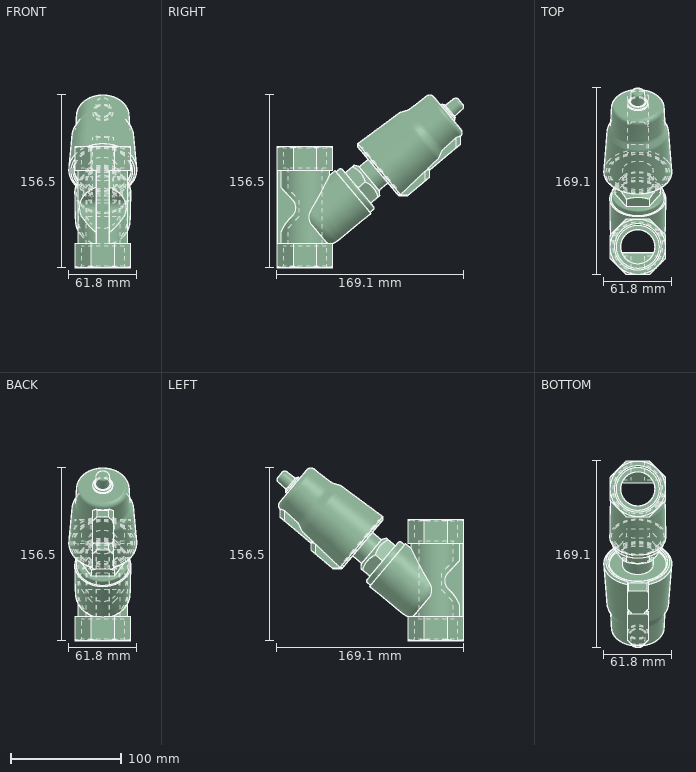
import cadquery as cq
import math


body_length = 110.0
octagon_sides = 8
octagon_flats = 50.5
octagon_height = 22.0
octagon_bevel_radius = 25.0
octagon_bevel_slope = 0.5
barrel_radius = 22.5
rib_width = 12.0
rib_edge_chamfer = 0.5
thread_diameter = 38.95
thread_depth = 19.5
thread_chamfer = 1.6
flow_diameter = 30.8

relief_apex = (-8.2, -0.7)
relief_upper_tangent = (-10.8, 6.2)
relief_lower_tangent = (-11.8, -8.5)
relief_lower_middle = (-17.2, -14.7)
relief_lower_end = (-21.8, -23.2)
relief_upper_slope = 1.07
relief_outer_y = -30.0
seat_wall_y = -5.2

lean_angle = 50.0
axis_start_z = -23.1
branch_diameter = 50.9
branch_start = 9.3
branch_start_radius = 22.2
branch_round_end = 16.2
branch_round_radius = 24.8
branch_round_middle = (23.9, 12.4)
branch_cone_end = 23.1
branch_cone_radius = 25.1
collar_start = 57.0
collar_end = 62.8
collar_diameter = 48.0
collar_round = 2.0

nut_sides = 6
nut_flats = 36.0
nut_end = 75.9
nut_bevel_radius = 14.8
nut_bevel_height = 2.4
stem_diameter = 28.0

skirt_start = 86.5
skirt_chamfer = 2.0
skirt_diameter = 61.8
skirt_bore_diameter = 51.7
skirt_bore_depth = 3.0
skirt_bore_chamfer = 1.2
shoulder_start = 136.0
shoulder_radius = 28.0
shoulder_end = 143.2
shoulder_end_radius = 24.8
shoulder_blend = 5.5
cap_end = 168.5
cap_end_radius = 23.8
cap_round = 5.0

ring_diameter = 18.2
ring_height = 2.9
ring_chamfer = 1.4
pin_end = 184.2
pin_base_radius = 6.6
pin_tip_radius = 6.1
pin_round = 3.1

port_width = 19.0
port_corner_chamfer = 4.3
port_bottom_chamfer = 1.0
port_depth = 11.0
lower_port_reach = 34.3
lower_port_end_y = 113.1
lower_port_bottom_z = 9.9
upper_port_reach = 29.4
upper_port_end_y = 141.2
upper_port_bottom_z = 33.5


def on_inclined_axis(shape):
    """Move a shape built upright on Z onto the inclined axis."""
    return shape.rotate((0, 0, 0), (1, 0, 0), -lean_angle).translate((0, 0, axis_start_z))


def octagon_end():
    """Octagonal wrench end at the top of the body, with bevelled corners."""
    base_z = body_length / 2 - octagon_height
    corner_diameter = octagon_flats / math.cos(math.pi / octagon_sides)
    half_sector = 180 / octagon_sides
    prism = (
        cq.Workplane("XY")
        .workplane(offset=base_z)
        .transformed(rotate=(0, 0, half_sector))
        .polygon(octagon_sides, corner_diameter)
        .extrude(octagon_height)
    )
    outer_radius = corner_diameter / 2
    bevel_drop = (outer_radius - octagon_bevel_radius) * octagon_bevel_slope
    bevel_envelope = (
        cq.Workplane("XZ")
        .moveTo(0, 0)
        .lineTo(outer_radius, 0)
        .lineTo(outer_radius, body_length / 2 - bevel_drop)
        .lineTo(octagon_bevel_radius, body_length / 2)
        .lineTo(0, body_length / 2)
        .close()
        .revolve(360, (0, 0, 0), (0, 1, 0))
    )
    return prism.intersect(bevel_envelope)


def relief_profile():
    """Closed notch outline in the YZ plane, with a rounded apex."""
    upper_end_z = relief_upper_tangent[1] + relief_upper_slope * (relief_upper_tangent[0] - relief_outer_y)
    return (
        cq.Workplane("YZ")
        .moveTo(relief_outer_y, upper_end_z)
        .lineTo(*relief_upper_tangent)
        .threePointArc(relief_apex, relief_lower_tangent)
        .threePointArc(relief_lower_middle, relief_lower_end)
        .lineTo(relief_outer_y, relief_lower_end[1])
        .close()
    )


def seat_wall_profile():
    """Trapezoid in the YZ plane that keeps a wall around the relief inside the passage."""
    upper_z = relief_upper_tangent[1]
    lower_z = relief_lower_tangent[1]
    flank_rise = relief_upper_slope * (seat_wall_y - relief_outer_y)
    return (
        cq.Workplane("YZ")
        .moveTo(seat_wall_y, upper_z)
        .lineTo(relief_outer_y, upper_z + flank_rise)
        .lineTo(relief_outer_y, lower_z - flank_rise)
        .lineTo(seat_wall_y, lower_z)
        .close()
    )


def rib():
    """Flat rib that joins the two octagonal ends along the -Y side."""
    length = body_length - 2 * octagon_height
    depth = octagon_flats / 2
    return (
        cq.Workplane("XY")
        .box(rib_width, depth, length)
        .translate((0, -depth / 2, 0))
        .edges("|Z and <Y")
        .chamfer(rib_edge_chamfer)
    )


def body_outside():
    upper_end = octagon_end()
    lower_end = upper_end.mirror("XY")
    barrel = cq.Workplane("XY").circle(barrel_radius).extrude(body_length / 2 - octagon_height, both=True)
    relief = relief_profile().extrude(octagon_flats, both=True)
    return barrel.cut(relief).union(rib()).union(upper_end).union(lower_end)


def flow_passage():
    """Threaded-end bores joined by a straight passage that passes round the relief wall."""
    bore_radius = thread_diameter / 2
    end_bore = (
        cq.Workplane("XZ")
        .moveTo(0, body_length / 2)
        .lineTo(bore_radius + thread_chamfer, body_length / 2)
        .lineTo(bore_radius, body_length / 2 - thread_chamfer)
        .lineTo(bore_radius, body_length / 2 - thread_depth)
        .lineTo(0, body_length / 2 - thread_depth)
        .close()
        .revolve(360, (0, 0, 0), (0, 1, 0))
    )
    wall = seat_wall_profile().extrude(octagon_flats, both=True)
    passage = cq.Workplane("XY").circle(flow_diameter / 2).extrude(body_length / 2 - thread_depth, both=True)
    return passage.cut(wall).union(end_bore).union(end_bore.mirror("XY"))


def branch():
    """Branch with a rounded root and a stepped collar."""
    branch_radius = branch_diameter / 2
    collar_radius = collar_diameter / 2
    turned = (
        cq.Workplane("XZ")
        .moveTo(0, branch_start)
        .lineTo(branch_start_radius, branch_start)
        .threePointArc(branch_round_middle, (branch_round_radius, branch_round_end))
        .lineTo(branch_cone_radius, branch_cone_end)
        .lineTo(branch_radius, collar_start)
        .lineTo(collar_radius, collar_start)
        .lineTo(collar_radius, collar_end)
        .lineTo(0, collar_end)
        .close()
        .revolve(360, (0, 0, 0), (0, 1, 0))
    )
    return turned.faces(">Z").edges().fillet(collar_round)


def bonnet_nut():
    """Hexagon nut with a bevelled top, corners on the X axis."""
    corner_diameter = nut_flats / math.cos(math.pi / nut_sides)
    nut_height = nut_end - collar_end
    hexagon = (
        cq.Workplane("XY")
        .workplane(offset=collar_end)
        .polygon(nut_sides, corner_diameter)
        .extrude(nut_height)
    )
    bevel_slope = nut_bevel_height / (nut_flats / 2 - nut_bevel_radius)
    outer_radius = corner_diameter / 2
    bevel_bottom = nut_end - bevel_slope * (outer_radius - nut_bevel_radius)
    bevel_envelope = (
        cq.Workplane("XZ")
        .moveTo(0, collar_end)
        .lineTo(outer_radius, collar_end)
        .lineTo(outer_radius, bevel_bottom)
        .lineTo(nut_bevel_radius, nut_end)
        .lineTo(0, nut_end)
        .close()
        .revolve(360, (0, 0, 0), (0, 1, 0))
    )
    return hexagon.intersect(bevel_envelope)


def stem():
    top = skirt_start + skirt_bore_depth
    return cq.Workplane("XY").workplane(offset=collar_end).circle(stem_diameter / 2).extrude(top - collar_end)


def actuator_housing():
    """Tapered skirt, blended shoulder and rounded cap."""
    skirt_radius = skirt_diameter / 2
    housing = (
        cq.Workplane("XZ")
        .moveTo(0, skirt_start)
        .lineTo(skirt_radius - skirt_chamfer, skirt_start)
        .lineTo(skirt_radius, skirt_start + skirt_chamfer)
        .lineTo(shoulder_radius, shoulder_start)
        .lineTo(shoulder_end_radius, shoulder_end)
        .lineTo(cap_end_radius, cap_end)
        .lineTo(0, cap_end)
        .close()
        .revolve(360, (0, 0, 0), (0, 1, 0))
    )
    shoulder_zone = cq.selectors.BoxSelector(
        (-skirt_radius, -skirt_radius, shoulder_start - shoulder_blend),
        (skirt_radius, skirt_radius, shoulder_end + shoulder_blend),
        boundingbox=True,
    )
    housing = housing.edges("%CIRCLE").edges(shoulder_zone).fillet(shoulder_blend)
    return housing.faces(">Z").edges().fillet(cap_round)


def skirt_bore():
    """Shallow annular recess round the stem, with a chamfered mouth."""
    bore_radius = skirt_bore_diameter / 2
    stem_radius = stem_diameter / 2
    return (
        cq.Workplane("XZ")
        .moveTo(stem_radius, skirt_start)
        .lineTo(bore_radius + skirt_bore_chamfer, skirt_start)
        .lineTo(bore_radius, skirt_start + skirt_bore_chamfer)
        .lineTo(bore_radius, skirt_start + skirt_bore_depth)
        .lineTo(stem_radius, skirt_start + skirt_bore_depth)
        .close()
        .revolve(360, (0, 0, 0), (0, 1, 0))
    )


def indicator():
    """Chamfered ring and tapered pin on top of the cap."""
    ring_radius = ring_diameter / 2
    ring_top = cap_end + ring_height
    turned = (
        cq.Workplane("XZ")
        .moveTo(0, cap_end)
        .lineTo(ring_radius, cap_end)
        .lineTo(ring_radius, ring_top - ring_chamfer)
        .lineTo(ring_radius - ring_chamfer, ring_top)
        .lineTo(pin_base_radius, ring_top)
        .lineTo(pin_tip_radius, pin_end)
        .lineTo(0, pin_end)
        .close()
        .revolve(360, (0, 0, 0), (0, 1, 0))
    )
    return turned.faces(">Z").edges().fillet(pin_round)


def air_port(reach, end_y, bottom_z):
    """Port block under the actuator: vertical end, outer face parallel to the inclined axis."""
    lean = math.radians(lean_angle)
    slope = 1 / math.tan(lean)
    face_z_at_body_axis = axis_start_z - reach / math.sin(lean)
    face_start_y = (bottom_z - face_z_at_body_axis) / slope
    face_end_z = face_z_at_body_axis + end_y * slope
    thickness = port_depth / math.sin(lean)
    block = (
        cq.Workplane("YZ")
        .moveTo(face_start_y - thickness / slope, bottom_z)
        .lineTo(face_start_y, bottom_z)
        .lineTo(end_y, face_end_z)
        .lineTo(end_y, face_end_z + thickness)
        .close()
        .extrude(port_width / 2, both=True)
    )
    block = block.faces(">Y").edges("|Z").chamfer(port_corner_chamfer)
    block = block.faces("<Z").edges("|Y").chamfer(port_bottom_chamfer)
    housing_zone = (
        cq.Workplane("XY")
        .workplane(offset=skirt_start)
        .circle(skirt_diameter)
        .extrude(cap_end - cap_round - skirt_start)
    )
    return block.intersect(on_inclined_axis(housing_zone))


body = body_outside()
actuator = on_inclined_axis(actuator_housing().union(indicator()))
actuator = actuator.union(air_port(lower_port_reach, lower_port_end_y, lower_port_bottom_z))
actuator = actuator.union(air_port(upper_port_reach, upper_port_end_y, upper_port_bottom_z))
actuator = actuator.cut(on_inclined_axis(skirt_bore()))
bonnet = on_inclined_axis(branch().union(bonnet_nut()).union(stem()))

result = body.union(bonnet).union(actuator).cut(flow_passage())